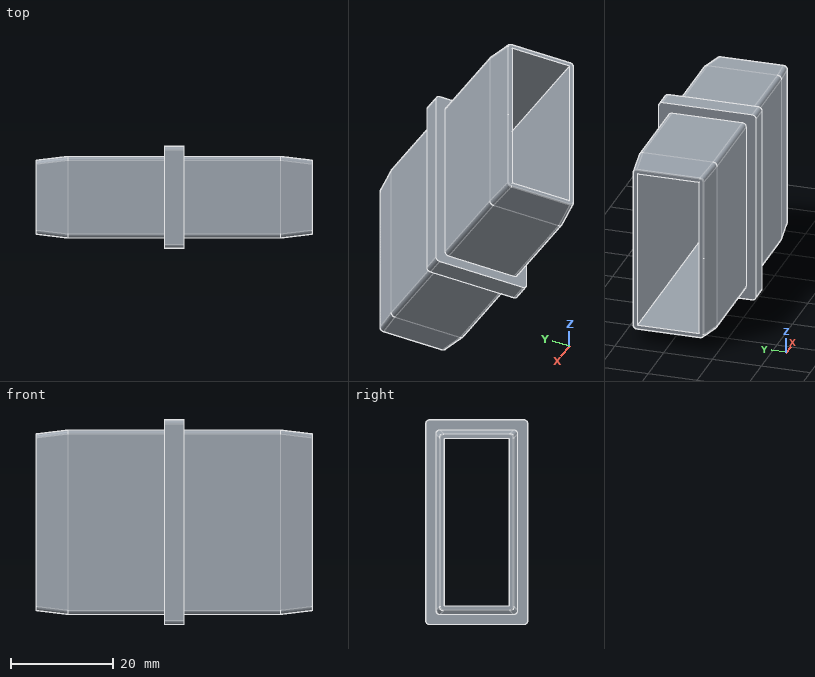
import cadquery as cq

length = 54.0
body_width = 16.0
body_height = 36.0
wall = 1.7
corner_radius = 0.8

taper_length = 6.25
taper_drop = 0.75
rim_radius = 0.15

collar_width = 20.0
collar_height = 40.0
collar_thickness = 3.9

straight_length = length - 2 * taper_length
tip_width = body_width - 2 * taper_drop
tip_height = body_height - 2 * taper_drop


def tapered_end(direction):
    """Solid rectangular lead-in, narrowing outward along +X or -X."""
    end = (
        cq.Workplane("YZ", origin=(direction * straight_length / 2, 0, 0))
        .rect(body_width, body_height)
        .workplane(offset=direction * taper_length)
        .rect(tip_width, tip_height)
        .loft(combine=True, ruled=True)
    )
    slanted_edges = end.edges("not(|Y or |Z)")
    end = slanted_edges.fillet(corner_radius)
    outer_face = ">X" if direction > 0 else "<X"
    return end.faces(outer_face).edges().fillet(rim_radius)


def rounded_block(size_x, size_y, size_z):
    """Centred block with rounded edges along X."""
    return cq.Workplane("XY").box(size_x, size_y, size_z).edges("|X").fillet(corner_radius)


sleeve = rounded_block(straight_length, body_width, body_height)
for direction in (-1, 1):
    sleeve = sleeve.union(tapered_end(direction))

collar = rounded_block(collar_thickness, collar_width, collar_height)

passage = cq.Workplane("XY").box(length, body_width - 2 * wall, body_height - 2 * wall)

result = sleeve.union(collar).cut(passage)